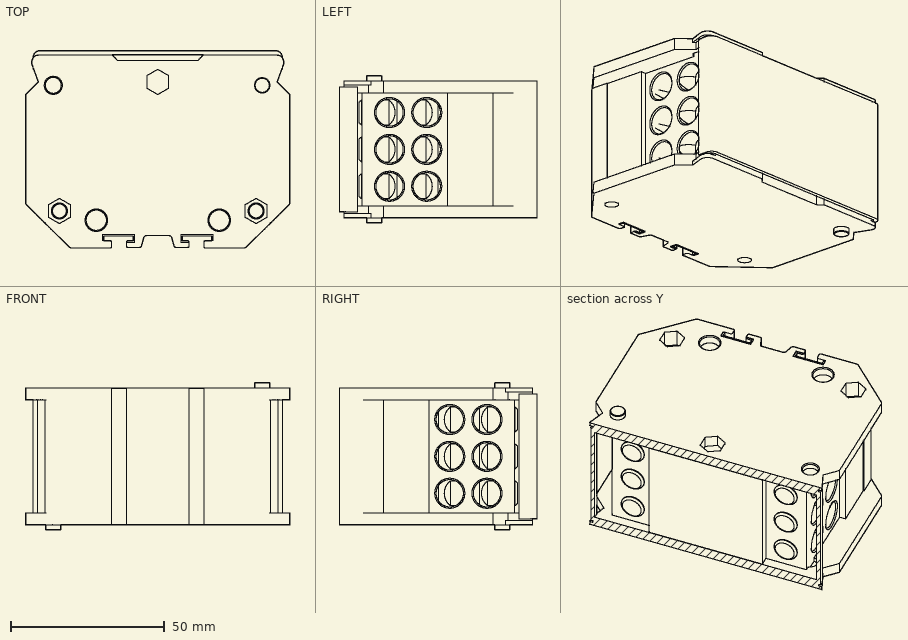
import cadquery as cq
import math

width = 86.0
height = 64.3
plate_span = 44.6
plate_thickness = 3.9
stud_tip_span = 48.0

half_width = width / 2
half_span = plate_span / 2
half_core = half_span - plate_thickness

foot_half_width = 28.45
foot_corner_radius = 1.1
side_bottom_y = 14.35
side_corner_radius = 0.8
shoulder_y = 50.0
notch_depth = 4.1
tongue_top_y = 62.9
tongue_tilt = 20.0
tongue_radius = 2.45
tongue_thickness = 1.4
tongue_inset = 1.0

window_half_width = 14.8
window_floor_half_width = 13.1
window_floor_y = 61.1

core_upper_x = 34.3
core_middle_x = 36.4
core_lower_x = 36.7
core_step_y = 29.2
core_corner_radius = 1.0
core_roof_y = 56.95
core_ridge_half_width = 20.0
core_ridge_y = 60.0

cover_length = 40.7
cover_half_width = 40.6
cover_bottom_y = 58.35
cover_leg_thickness = 1.5
cover_radius = 2.3
cover_inner_radius = 0.8

pole_pitch = 12.0
pole_offsets = (-pole_pitch, 0.0, pole_pitch)
entry_diameter = 8.9
entry_chamfer = 0.45
upper_entry_y = 48.0
lower_entry_y = 35.9
upper_entry_floor_x = 22.0
lower_entry_floor_x = 11.0
upper_entry_ramp_end = 2.4
lower_entry_ramp_end = 3.6
upper_screw_x = 27.0
lower_screw_x = 16.5
screw_diameter = 8.1
screw_dome_height = 2.0
screw_head_height = 0.95
screw_head_chamfer = 0.7
screw_dome_base_offset = 0.2

slot_inner_x = 8.05
slot_outer_x = 17.5
slot_floor_y = 2.45
slot_roof_y = 3.9
slot_mouth_inner_x = 10.2
slot_mouth_outer_x = 15.0
slot_lip_radius = 0.5
slot_rim_width = 0.55
slot_rim_depth = 0.2
inner_foot_rise = 0.2
groove_roof_y = 4.05
groove_base_half_width = 5.4
groove_roof_half_width = 4.35
groove_radius = 0.9

nut_flats = 7.1
nut_depth = 6.0
upper_nut_y = 54.1
upper_nut_depth = 4.0
bolt_x = 32.0
bolt_y = 12.1
bolt_diameter = 4.5
bolt_countersink = 0.35
large_recess_x = 20.0
large_recess_y = 9.1
large_recess_diameter = 6.6
large_recess_depth = 3.0
stud_x = 34.0
stud_y = 53.0
stud_diameter = 5.0
stud_edge_chamfer = 0.2
stud_socket_diameter = 4.8
stud_socket_depth = 1.5
stud_recess_diameter = 5.2
stud_recess_depth = 2.0
recess_chamfer = 0.35


def mirrored(points):
    """Close a right-half outline, listed from bottom to top, with its mirror image."""
    return points + [(-x, y) for x, y in reversed(points) if x > 0]


def prism(points, z_low, z_high):
    return cq.Workplane("XY", origin=(0, 0, z_low)).polyline(points).close().extrude(z_high - z_low)


def block(x_low, x_high, y_low, y_high, z_low, z_high):
    corners = [(x_low, y_low), (x_high, y_low), (x_high, y_high), (x_low, y_high)]
    return prism(corners, z_low, z_high)


def near(x, y):
    """Select Z-parallel edges passing through (x, y) or (-x, y)."""
    tolerance = 0.05
    z_reach = 2 * half_span
    right = cq.selectors.BoxSelector(
        (x - tolerance, y - tolerance, -z_reach), (x + tolerance, y + tolerance, z_reach))
    left = cq.selectors.BoxSelector(
        (-x - tolerance, y - tolerance, -z_reach), (-x + tolerance, y + tolerance, z_reach))
    return cq.selectors.SumSelector(right, left)


def both_sides(shape):
    return shape.union(shape.mirror("YZ"))


def plate_layer(inset, z_low, z_high):
    """Slice of the plate outline, with the tongue flanks set back by inset."""
    tilt = math.radians(tongue_tilt)
    shift = inset / (math.cos(tilt) + math.sin(tilt))
    notch_x = half_width - notch_depth - shift
    notch_y = shoulder_y + notch_depth + shift
    tongue_x = notch_x + (tongue_top_y - notch_y) * math.tan(tilt)
    outline = mirrored([
        (foot_half_width, 0),
        (half_width, side_bottom_y),
        (half_width, shoulder_y),
        (notch_x, notch_y),
        (tongue_x, tongue_top_y),
    ])
    layer = prism(outline, z_low, z_high)
    layer = layer.edges(near(foot_half_width, 0)).fillet(foot_corner_radius)
    layer = layer.edges(near(half_width, side_bottom_y)).fillet(side_corner_radius)
    return layer.edges(near(tongue_x, tongue_top_y)).fillet(tongue_radius)


def side_plates():
    tongue_inner_z = half_span - tongue_thickness
    outer = plate_layer(0, tongue_inner_z, half_span)
    inner = plate_layer(tongue_inset, half_core, tongue_inner_z)
    plate = outer.union(inner)
    window = prism(mirrored([
        (window_floor_half_width, window_floor_y),
        (window_half_width, tongue_top_y),
    ]), half_core, half_span)
    plate = plate.cut(window)
    return plate.union(plate.mirror("XY"))


def core():
    """Stepped middle of the block, cut to the bevelled foot of the plates."""
    profile = mirrored([
        (core_lower_x, 0),
        (core_lower_x, side_bottom_y),
        (core_middle_x, side_bottom_y),
        (core_middle_x, core_step_y),
        (core_upper_x, core_step_y),
        (core_upper_x, core_roof_y),
        (core_ridge_half_width, core_roof_y),
        (core_ridge_half_width, core_ridge_y),
    ])
    solid = prism(profile, -half_core, half_core).intersect(plate_layer(0, -half_core, half_core))
    bevel_slope = side_bottom_y / (half_width - foot_half_width)
    corner_y = (core_lower_x - foot_half_width) * bevel_slope
    return solid.edges(near(core_lower_x, corner_y)).fillet(core_corner_radius)


def cover():
    half_length = cover_length / 2
    shell = block(-cover_half_width, cover_half_width, cover_bottom_y, height, -half_length, half_length)
    shell = shell.edges(near(cover_half_width, height)).fillet(cover_radius)
    inner_x = cover_half_width - cover_leg_thickness
    hollow = block(-inner_x, inner_x, cover_bottom_y, tongue_top_y, -half_length, half_length)
    hollow = hollow.edges(near(inner_x, tongue_top_y)).fillet(cover_inner_radius)
    return shell.cut(hollow)


def entry_bore(y, z, face_x, floor_x, ramp_end):
    """Bore entering from +X; a flat ramp on its -Y side rises towards the floor."""
    radius = entry_diameter / 2
    bore = cq.Workplane("YZ", origin=(floor_x, y, z)).circle(radius).extrude(face_x - floor_x)
    ramp = prism([
        (floor_x, y - radius),
        (face_x, y - radius),
        (floor_x, y - ramp_end),
    ], z - radius, z + radius)
    mouth = (cq.Workplane("YZ", origin=(face_x, y, z)).circle(radius + entry_chamfer)
             .workplane(offset=-entry_chamfer).circle(radius).loft())
    return bore.cut(ramp).union(mouth)


def screw_tip(x, entry_y, z):
    """Domed end of a clamping screw that reaches down into its wire entry."""
    radius = screw_diameter / 2
    base_y = entry_y + screw_dome_base_offset
    top_y = entry_y + entry_diameter / 2 + entry_chamfer
    sphere_radius = (radius ** 2 + screw_dome_height ** 2) / (2 * screw_dome_height)
    half_angle = math.asin(radius / sphere_radius) / 2
    arc_middle = (sphere_radius * math.sin(half_angle),
                  base_y - screw_dome_height + sphere_radius * (1 - math.cos(half_angle)))
    return (cq.Workplane("XY", origin=(x, 0, z))
            .moveTo(0, top_y)
            .lineTo(radius, top_y)
            .lineTo(radius, base_y)
            .threePointArc(arc_middle, (0, base_y - screw_dome_height))
            .close()
            .revolve(360, (0, 0, 0), (0, 1, 0)))


def screw_head(x, z):
    """Chamfered screw head standing on the roof of the core."""
    head = cq.Solid.makeCylinder(
        screw_diameter / 2, screw_head_height, cq.Vector(x, core_roof_y, z), cq.Vector(0, 1, 0))
    return cq.Workplane(head).faces(">Y").chamfer(screw_head_chamfer)


def form_wire_entries(body):
    rows = (
        (upper_entry_y, upper_entry_floor_x, upper_entry_ramp_end, upper_screw_x),
        (lower_entry_y, lower_entry_floor_x, lower_entry_ramp_end, lower_screw_x),
    )
    for z in pole_offsets:
        for y, floor_x, ramp_end, screw_x in rows:
            entry = entry_bore(y, z, core_upper_x, floor_x, ramp_end)
            body = body.cut(both_sides(entry.cut(screw_tip(screw_x, y, z))))
        body = body.union(both_sides(screw_head(upper_screw_x, z)))
    return body


def cut_rail_foot(body):
    """T-slots, raised inner feet and central groove, all along the full Z length."""
    through = (-half_span, half_span)
    inner_feet = block(-slot_mouth_inner_x, slot_mouth_inner_x, 0, inner_foot_rise, *through)
    slot = block(slot_inner_x, slot_outer_x, slot_floor_y, slot_roof_y, *through)
    mouth = block(slot_mouth_inner_x, slot_mouth_outer_x, 0, slot_floor_y, *through)
    groove = prism(mirrored([
        (groove_base_half_width, inner_foot_rise),
        (groove_roof_half_width, groove_roof_y),
    ]), *through)
    body = body.cut(inner_feet).cut(both_sides(slot.union(mouth))).cut(groove)

    lip_corners = (
        (slot_mouth_outer_x, 0),
        (slot_mouth_outer_x, slot_floor_y),
        (slot_mouth_inner_x, inner_foot_rise),
        (slot_mouth_inner_x, slot_floor_y),
    )
    for x, y in lip_corners:
        body = body.edges(near(x, y)).fillet(slot_lip_radius)
    body = body.edges(near(groove_base_half_width, inner_foot_rise)).fillet(groove_radius)
    return body.edges(near(groove_roof_half_width, groove_roof_y)).fillet(groove_radius)


def cut_slot_rims(body):
    """Shallow step around each slot in the outer face of both plates."""
    rim_z = half_span - slot_rim_depth
    rim_inner_x = slot_inner_x - slot_rim_width
    rim = block(rim_inner_x, slot_outer_x + slot_rim_width,
                slot_floor_y, slot_roof_y + slot_rim_width, rim_z, half_span)
    lip_step = block(rim_inner_x, slot_mouth_inner_x,
                     slot_floor_y - slot_rim_width, slot_floor_y, rim_z, half_span)
    rims = both_sides(rim.union(lip_step))
    return body.cut(rims).cut(rims.mirror("XY"))


def nut_pocket(x, y, depth):
    """Hexagonal pocket with two flats parallel to the Y axis."""
    corner_diameter = nut_flats / math.cos(math.pi / 6)
    return (cq.Workplane("XY", origin=(x, y, half_span))
            .transformed(rotate=(0, 0, 90))
            .polygon(6, corner_diameter)
            .extrude(-depth))


def round_recess(x, y, diameter, depth):
    """Blind recess in the +Z face with a chamfered mouth."""
    radius = diameter / 2
    profile = [
        (0, half_span),
        (radius + recess_chamfer, half_span),
        (radius, half_span - recess_chamfer),
        (radius, half_span - depth),
        (0, half_span - depth),
    ]
    return (cq.Workplane("XZ").polyline(profile).close()
            .revolve(360, (0, 0, 0), (0, 1, 0)).translate((x, y, 0)))


def bolt_hole(x):
    """Through hole, countersunk at the floor of its nut pocket."""
    radius = bolt_diameter / 2
    floor_z = half_span - nut_depth
    hole = cq.Workplane("XY", origin=(x, bolt_y, -half_span)).circle(radius).extrude(plate_span)
    countersink = (cq.Workplane("XY", origin=(x, bolt_y, floor_z)).circle(radius + bolt_countersink)
                   .workplane(offset=-bolt_countersink).circle(radius).loft())
    return hole.union(countersink)


def cut_plate_details(body):
    body = body.cut(nut_pocket(0, upper_nut_y, upper_nut_depth))
    for side in (-1, 1):
        body = body.cut(nut_pocket(side * bolt_x, bolt_y, nut_depth))
        body = body.cut(bolt_hole(side * bolt_x))
        body = body.cut(round_recess(
            side * large_recess_x, large_recess_y, large_recess_diameter, large_recess_depth))
    return body.cut(round_recess(-stud_x, stud_y, stud_recess_diameter, stud_recess_depth))


def add_studs(body):
    """One stud on +Z at the right and one on -Z at the left, each with a socket behind it."""
    stud = (cq.Workplane("XY", origin=(stud_x, stud_y, half_span))
            .circle(stud_diameter / 2).extrude(stud_tip_span / 2 - half_span)
            .faces(">Z").chamfer(stud_edge_chamfer))
    socket = (cq.Workplane("XY", origin=(stud_x, stud_y, half_core))
              .circle(stud_socket_diameter / 2).extrude(stud_socket_depth))
    open_side = block(core_upper_x, half_width, core_step_y, core_roof_y, half_core, half_span)
    socket = socket.intersect(open_side)
    half_turn = ((0, 0, 0), (0, 1, 0), 180)
    body = body.union(stud).union(stud.rotate(*half_turn))
    return body.cut(socket).cut(socket.rotate(*half_turn))


body = side_plates().union(core())
body = form_wire_entries(body)
body = cut_rail_foot(body)
body = cut_slot_rims(body)
body = cut_plate_details(body)
body = add_studs(body)
body = body.union(cover())
result = cq.Workplane(body.val())